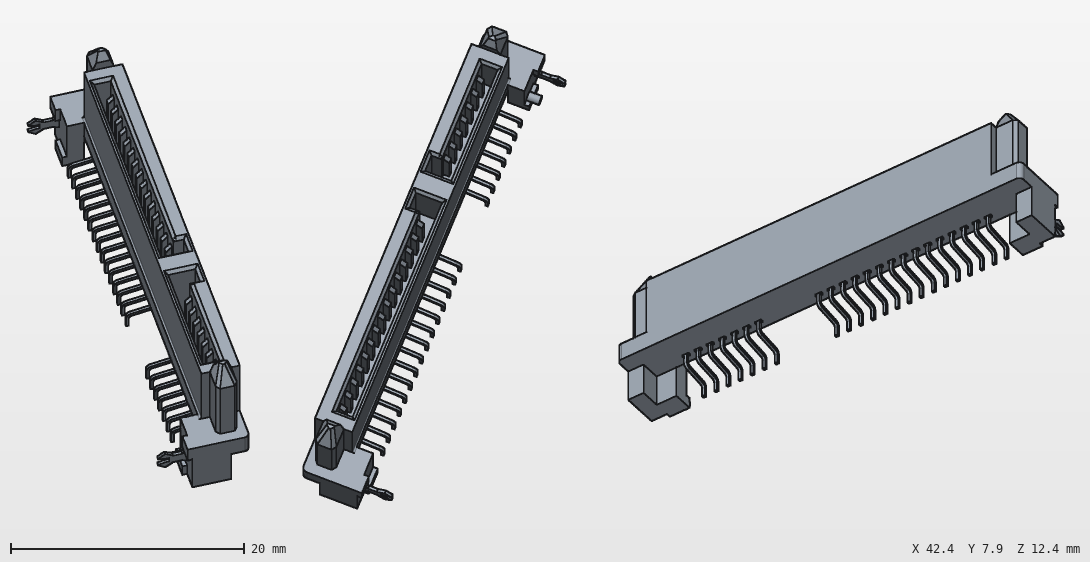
import cadquery as cq
import math


length = 42.4
depth = 7.9
height = 12.4
half_length = length / 2

shroud_half_length = 18.1
shroud_depth = 3.45
shroud_top = 10.73
beam_depth = 3.6
beam_bottom = 3.2
beam_top = 4.95

foot_width = 3.7
foot_back = 1.65
foot_depth = 5.55
pad_thickness = 0.42
pad_split = 1.6
upper_pad_bottom = 3.55
lower_pad_top = 1.1
flange_corner_radius = 0.45
foot_inner = half_length - foot_width

post_outer = 20.22
post_back = 0.75
post_front = 2.65
post_corner_x = 0.4
post_corner_y = 0.3
tip_outer = 19.0
tip_inner = 18.6
tip_back = 1.35
tip_front = 2.05
tip_corner_x = 0.25
tip_corner_y = 0.25
tip_slope_start = 11.58

cavity_back = 1.15
cavity_front = 3.22
key_back = 0.2
mouth_chamfer = 0.3
cavity_floor = beam_top
long_outer_end = 17.05
short_outer_end = 17.15
long_key = (2.25, 4.3)
short_key = (5.8, 7.9)

pitch = 1.27
long_count = 15
short_count = 7
long_first_x = -15.9
short_first_x = 8.23
contact_width = 0.45
contact_front = 2.0
contact_top = 9.33
contact_slope_drop = 0.55
tail_width = 0.3
tail_thickness = 0.25
tail_top_front = 2.85
tail_front = 5.5
tail_bottom = 0.35
tail_run_back_z = 2.1
tail_run_front_z = 1.75
tail_bend_radius = 0.25
shoulder_width = 0.65
shoulder_drop = 0.13
tail_embed = 0.42

lock_x = 20.0
lock_thickness = 0.3
lock_z = 2.95
lock_half_width = 0.42
lock_root_half_width = 0.65
lock_root_length = 0.6
lock_shank_end = 6.55
lock_barb_y = 7.25
lock_barb_half_width = 0.85
lock_tip_half_width = 0.42
lock_slot_tip_half_width = 0.35
lock_slot_half_width = 0.2
lock_slot_start = 6.85

peg_x = 18.35
peg_z = 1.15
peg_radius = 0.42
peg_end = 6.28


def block(x0, x1, y_back, y_front, z0, z1):
    """Box between two X values, two distances in front of the back face and two heights."""
    box = cq.Workplane("XY").box(x1 - x0, y_front - y_back, z1 - z0, centered=False)
    return box.translate((x0, -y_front, z0))


def both_ends(solid):
    """A right-hand feature together with its mirror image at the left end."""
    return solid.union(solid.mirror("YZ"))


def cavity(outer_x, key_outer_x, key_inner_x):
    """L-shaped pocket with a chamfered mouth; the key leg reaches back at the inner end."""
    outline = [
        (outer_x, -cavity_front),
        (key_inner_x, -cavity_front),
        (key_inner_x, -key_back),
        (key_outer_x, -key_back),
        (key_outer_x, -cavity_back),
        (outer_x, -cavity_back),
    ]
    mouth = cq.Workplane("XY").workplane(offset=shroud_top).polyline(outline).close()
    mouth = mouth.extrude(-mouth_chamfer, taper=45)
    pocket = cq.Workplane("XY").workplane(offset=cavity_floor).polyline(outline).close()
    pocket = pocket.offset2D(-mouth_chamfer, "intersection").extrude(shroud_top - mouth_chamfer - cavity_floor)
    return pocket.union(mouth)


def foot():
    """Right-hand foot: back flange, L-shaped leg and the two front pads."""
    face_depth = foot_depth - pad_thickness
    split_x = half_length - pad_split
    flange = block(foot_inner, half_length, 0, face_depth, beam_bottom, beam_top)
    flange = flange.edges("|Z and >X and >Y").fillet(flange_corner_radius)
    front_wall = block(foot_inner, half_length, beam_depth, face_depth, 0, beam_top)
    rear_wall = block(split_x, half_length, foot_back, beam_depth, 0, beam_top)
    upper_pad = block(split_x, half_length, face_depth, foot_depth, upper_pad_bottom, beam_top)
    lower_pad = block(foot_inner, split_x, face_depth, foot_depth, 0, lower_pad_top)
    return flange.union(front_wall).union(rear_wall).union(upper_pad).union(lower_pad)


def post_section(outer_x, back, front, corner_x, corner_y):
    """Post outline with flats on its two outer corners."""
    return [
        (shroud_half_length, -front),
        (outer_x - corner_x, -front),
        (outer_x, -front + corner_y),
        (outer_x, -back - corner_y),
        (outer_x - corner_x, -back),
        (shroud_half_length, -back),
    ]


def guide_post():
    """Right-hand guide post, straight beside the shroud and tapered above it."""
    base = post_section(post_outer, post_back, post_front, post_corner_x, post_corner_y)
    tip = post_section(tip_outer, tip_back, tip_front, tip_corner_x, tip_corner_y)
    shaft = cq.Workplane("XY").workplane(offset=beam_top).polyline(base).close().extrude(shroud_top - beam_top)
    taper = cq.Workplane("XY").workplane(offset=shroud_top).polyline(base).close()
    taper = taper.workplane(offset=height - shroud_top).polyline(tip).close().loft(ruled=True)
    slope = [
        (shroud_half_length, tip_slope_start),
        (tip_inner, height),
        (shroud_half_length, height),
    ]
    inner_cut = cq.Workplane("XZ").polyline(slope).close().extrude(shroud_depth)
    return shaft.union(taper.cut(inner_cut))


def board_lock():
    """Right-hand board lock: a flat plate with a split, barbed end."""
    root_y = foot_depth - pad_thickness
    upper_half = [
        (root_y, lock_root_half_width),
        (root_y + lock_root_length, lock_half_width),
        (lock_shank_end, lock_half_width),
        (lock_barb_y, lock_barb_half_width),
        (depth, lock_tip_half_width),
        (depth, lock_slot_tip_half_width),
        (lock_barb_y, lock_slot_half_width),
        (lock_slot_start, lock_slot_half_width),
    ]
    lower_half = [(y, -offset) for y, offset in reversed(upper_half)]
    outline = [(-y, lock_z + offset) for y, offset in upper_half + lower_half]
    plate = cq.Workplane("YZ").polyline(outline).close().extrude(lock_thickness / 2, both=True)
    return plate.translate((lock_x, 0, 0))


def tail(x):
    """Solder tail: down out of the beam, sloping forward, then straight down again."""
    top = beam_bottom + tail_embed
    top_back = tail_top_front - tail_thickness
    front_back = tail_front - tail_thickness
    outline = [
        (-top_back, top),
        (-top_back, tail_run_back_z - tail_thickness),
        (-front_back, tail_run_front_z - tail_thickness),
        (-front_back, tail_bottom),
        (-tail_front, tail_bottom),
        (-tail_front, tail_run_front_z),
        (-tail_top_front, tail_run_back_z),
        (-tail_top_front, top),
    ]
    strip = cq.Workplane("YZ").polyline(outline).close().extrude(tail_width / 2, both=True)
    outer_radius = tail_bend_radius + tail_thickness
    bends = [
        (-tail_front, tail_run_front_z, outer_radius),
        (-front_back, tail_run_front_z - tail_thickness, tail_bend_radius),
        (-top_back, tail_run_back_z - tail_thickness, outer_radius),
        (-tail_top_front, tail_run_back_z, tail_bend_radius),
    ]
    for y, z, radius in bends:
        bend = cq.selectors.NearestToPointSelector((0, y, z))
        strip = strip.edges("|X").edges(bend).fillet(radius)
    half = shoulder_width / 2
    shoulder = block(-half, half, top_back, tail_top_front, beam_bottom - shoulder_drop, top)
    return strip.union(shoulder).translate((x, 0, 0))


def contact(x):
    """Contact blade on the back wall of a cavity, its top sloping down toward the front."""
    wall = cavity_back + mouth_chamfer
    profile = [
        (-wall, cavity_floor),
        (-contact_front, cavity_floor),
        (-contact_front, contact_top - contact_slope_drop),
        (-wall, contact_top),
    ]
    blade = cq.Workplane("YZ").polyline(profile).close().extrude(contact_width / 2, both=True)
    return blade.translate((x, 0, 0))


def ledge_fillet():
    """Concave fillet filling the ledge between the beam top and the shroud front."""
    radius = beam_depth - shroud_depth
    sag = radius * (1 - math.sqrt(0.5))
    profile = cq.Workplane("YZ").moveTo(-shroud_depth, beam_top).lineTo(-beam_depth, beam_top)
    profile = profile.threePointArc((-shroud_depth - sag, beam_top + sag), (-shroud_depth, beam_top + radius))
    return profile.close().extrude(shroud_half_length, both=True)


beam = block(-foot_inner, foot_inner, 0, beam_depth, beam_bottom, beam_top)
shroud = block(-shroud_half_length, shroud_half_length, 0, shroud_depth, beam_bottom, shroud_top)
shroud = shroud.cut(cavity(-long_outer_end, long_key[0], long_key[1]))
shroud = shroud.cut(cavity(short_outer_end, short_key[1], short_key[0]))

peg = cq.Workplane("XZ").workplane(offset=beam_depth).center(peg_x, peg_z)
peg = peg.circle(peg_radius).extrude(peg_end - beam_depth)

result = shroud.union(beam).union(ledge_fillet()).union(peg)
result = result.union(both_ends(foot().union(board_lock()).union(guide_post())))

contact_xs = [long_first_x + i * pitch for i in range(long_count)]
contact_xs += [short_first_x + i * pitch for i in range(short_count)]
for contact_x in contact_xs:
    result = result.union(contact(contact_x)).union(tail(contact_x))